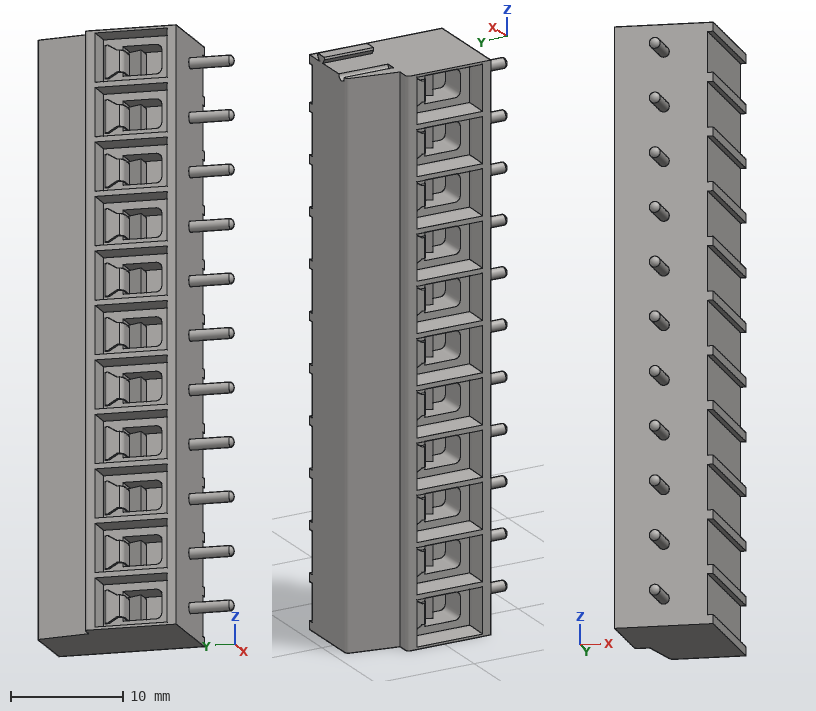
import cadquery as cq
import math

overall_depth = 17.6
overall_height = 55.7

poles = 11
body_height = 55.0
pitch = body_height / poles

body_width = 9.0
body_depth = 13.55
step_y = 8.5
step_width = 1.35
panel_top_x = 2.15
edge_radius = 0.35

relief_depth = 0.5
rib_thickness = 0.85

pin_diameter = 1.0
pin_length = overall_depth - body_depth
pin_x = body_width / 2
pin_tip_height = 0.35
pin_embed = 0.55

rail_height = overall_height - body_height
rail_x = 6.85
rail_root_width = 0.6
rail_wide_width = 1.3
rail_top_width = 1.15
rail_wide_level = 0.45
groove_x = 3.05
groove_radius = 0.5

pocket_front_y = 0.85
pocket_back_y = 7.5
pocket_height = 4.5
pocket_depth = 2.1
tapered_depth = 1.65
pocket_taper = 0.15

slot_front_y = 1.95
slot_back_y = 5.55
slot_height = 2.75
slot_radius = 0.55
slot_depth = 2.8

tongue_back_y = 7.25
tongue_flat_y = 6.85
tongue_neck_y = 6.0
tongue_crease_y = 5.8
tongue_front_y = 5.45
tongue_front_radius = 0.65
tongue_rise = 0.35
tongue_height = 3.0
neck_height = 2.0

clamp_front_y = 4.2
clamp_back_sink = 1.8
clamp_angle = 28.0
clamp_height = 2.4


def make_housing():
    outline = [
        (0, 0),
        (body_width, 0),
        (body_width, body_depth),
        (panel_top_x, body_depth),
        (step_width, step_y),
        (0, step_y),
    ]
    housing = cq.Workplane("XY").polyline(outline).close().extrude(body_height)
    rounded_corners = [(panel_top_x, body_depth), (0, step_y)]
    for x, y in rounded_corners:
        corner = cq.selectors.NearestToPointSelector((x, y, body_height / 2))
        housing = housing.edges("|Z").edges(corner).fillet(edge_radius)
    return housing


def make_relief(pole):
    """Gap between neighbouring ribs; the end ribs keep their full thickness."""
    bottom_rib = rib_thickness if pole == 0 else rib_thickness / 2
    top_rib = rib_thickness if pole == poles - 1 else rib_thickness / 2
    height = pitch - bottom_rib - top_rib
    return cq.Workplane("XY").box(relief_depth, body_depth, height, centered=False).translate(
        (body_width - relief_depth, 0, pole * pitch + bottom_rib)
    )


def make_pin():
    """Round pin with a domed tip."""
    radius = pin_diameter / 2
    shoulder_y = pin_tip_height - pin_length
    dome_radius = (radius**2 + pin_tip_height**2) / (2 * pin_tip_height)
    half_angle = math.asin(radius / dome_radius) / 2
    dome_point = (
        dome_radius * math.sin(half_angle),
        dome_radius * (1 - math.cos(half_angle)) - pin_length,
    )
    half_section = (
        cq.Workplane("XY")
        .moveTo(0, pin_embed)
        .lineTo(radius, pin_embed)
        .lineTo(radius, shoulder_y)
        .threePointArc(dome_point, (0, -pin_length))
        .close()
    )
    return half_section.revolve(360, (0, 0), (0, 1)).translate((pin_x, 0, 0))


def make_pocket():
    """Tapered mouth followed by a short straight stretch down to the floor."""
    pocket_width = pocket_back_y - pocket_front_y
    center_y = (pocket_back_y + pocket_front_y) / 2
    floor_width = pocket_width - 2 * pocket_taper
    floor_height = pocket_height - 2 * pocket_taper
    mouth = (
        cq.Workplane("YZ")
        .rect(pocket_width, pocket_height)
        .workplane(offset=tapered_depth)
        .rect(floor_width, floor_height)
        .loft()
    )
    base = cq.Workplane("YZ").rect(floor_width, floor_height).extrude(pocket_depth)
    return mouth.union(base).translate((0, center_y, 0))


def make_slot():
    slot = cq.Workplane("XY").box(
        slot_depth, slot_back_y - slot_front_y, slot_height, centered=(False, False, True)
    )
    return slot.edges("|X and <Y").fillet(slot_radius).translate((pocket_depth, slot_front_y, 0))


def make_tongue():
    """Plate with a rounded back that narrows to a neck and bends down into the slot."""
    crest_x = pocket_depth - tongue_rise
    bottom_x = pocket_depth + slot_depth
    diagonal = math.sqrt(0.5)
    back_run = tongue_back_y - tongue_flat_y
    bend_y = tongue_front_y + tongue_front_radius
    start_angle = math.acos((bend_y - tongue_crease_y) / tongue_front_radius)
    bend_x = crest_x + tongue_front_radius * math.sin(start_angle)
    bend_point = (
        bend_x - tongue_front_radius * math.sin(start_angle / 2),
        bend_y - tongue_front_radius * math.cos(start_angle / 2),
    )
    profile = (
        cq.Workplane("XY")
        .moveTo(pocket_depth, tongue_back_y)
        .threePointArc(
            (pocket_depth - tongue_rise * diagonal, tongue_flat_y + back_run * diagonal),
            (crest_x, tongue_flat_y),
        )
        .lineTo(crest_x, tongue_crease_y)
        .threePointArc(bend_point, (bend_x, tongue_front_y))
        .lineTo(bottom_x, tongue_front_y)
        .lineTo(bottom_x, tongue_back_y)
        .close()
        .extrude(tongue_height / 2, both=True)
    )
    upper_plan = [
        (tongue_back_y, tongue_height / 2),
        (tongue_flat_y, tongue_height / 2),
        (tongue_neck_y, neck_height / 2),
        (tongue_front_y, neck_height / 2),
    ]
    lower_plan = [(y, -z) for y, z in reversed(upper_plan)]
    footprint = cq.Workplane("YZ").polyline(upper_plan + lower_plan).close().extrude(bottom_x)
    return profile.intersect(footprint)


def make_clamp():
    """Wedge on the slot bottom whose face rises towards the slot mouth."""
    bottom_x = pocket_depth + slot_depth
    back_x = pocket_depth + clamp_back_sink
    front_x = back_x - (slot_back_y - clamp_front_y) * math.tan(math.radians(clamp_angle))
    outline = [
        (bottom_x, slot_back_y),
        (back_x, slot_back_y),
        (front_x, clamp_front_y),
        (bottom_x, clamp_front_y),
    ]
    return cq.Workplane("XY").polyline(outline).close().extrude(clamp_height / 2, both=True)


def make_rail():
    half_profile = [
        (rail_root_width / 2, body_height),
        (rail_wide_width / 2, body_height + rail_wide_level),
        (rail_top_width / 2, body_height + rail_height),
    ]
    right_side = [(rail_x + offset, z) for offset, z in half_profile]
    left_side = [(rail_x - offset, z) for offset, z in reversed(half_profile)]
    rail = cq.Workplane("XZ").polyline(right_side + left_side).close()
    return rail.extrude(step_y - body_depth).translate((0, step_y, 0))


def make_groove():
    groove = cq.Workplane("XZ").center(groove_x, body_height).circle(groove_radius)
    return groove.extrude(step_y - body_depth).translate((0, step_y, 0))


cell_cut = make_pocket().union(make_slot()).cut(make_tongue()).cut(make_clamp())
pin = make_pin()

result = make_housing().cut(make_groove()).union(make_rail())
for pole in range(poles):
    center = (0, 0, (pole + 0.5) * pitch)
    result = result.cut(make_relief(pole)).cut(cell_cut.translate(center)).union(pin.translate(center))